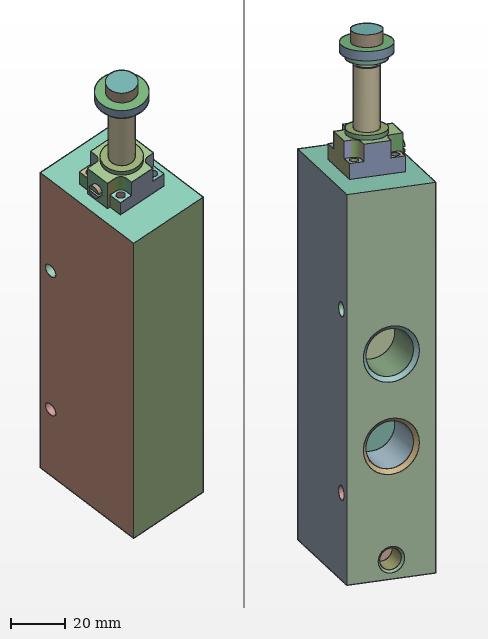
import cadquery as cq

TOTAL_HEIGHT = 207.0
BLOCK_X = 50.0
BLOCK_Y = 35.0
BLOCK_HEIGHT = 153.4

PORT_HEIGHTS = (52.2, 88.4)
PORT_DIAMETER = 18.6
PORT_MOUTH_DIAMETER = 22.0
PORT_DEPTH = 20.7
PILOT_HEIGHT = 7.7
PILOT_DIAMETER = 8.5
PILOT_MOUTH_DIAMETER = 10.4
PILOT_DEPTH = 10.4

MOUNT_HEIGHTS = (34.4, 106.5)
MOUNT_DIAMETER = 5.5
MOUNT_EDGE_DISTANCE = 5.5

BASE_SIDE = 22.0
BASE_HEIGHT = 13.0
FOOT_HEIGHT = 6.2
ARM_WIDTH = 10.8
SCREW_HOLE_DIAMETER = 3.3
SCREW_HOLE_OFFSET = 8.0
PAD_THICKNESS = 1.2

OVERRIDE_DIAMETER = 5.4
OVERRIDE_LENGTH = 1.9
OVERRIDE_HEIGHT = 5.8
OVERRIDE_SLOT = 1.2

COLLAR_DIAMETER = 16.0
COLLAR_TOP = 15.0
SHAFT_DIAMETER = 10.0
NECK_DIAMETER = 8.0
FLANGE_DIAMETER = 20.0
BUTTON_DIAMETER = 12.0
SHAFT_TOP_DROP = 13.7
NECK_TOP_DROP = 11.2
LOWER_FLANGE_TOP_DROP = 8.7
FLANGE_TOP_DROP = 5.0


def blind_port(height, diameter, mouth_diameter, depth):
    """Blind bore entering the -X face, with a 45 degree chamfered mouth."""
    radius = diameter / 2
    mouth_radius = mouth_diameter / 2
    chamfer = mouth_radius - radius
    profile_plane = cq.Plane(origin=(-BLOCK_X / 2, 0, height), xDir=(0, 1, 0), normal=(0, 0, -1))
    return (
        cq.Workplane(profile_plane)
        .polyline([(0, 0), (mouth_radius, 0), (radius, chamfer), (radius, depth), (0, depth)])
        .close()
        .revolve(360, (0, 0), (0, 1))
    )


def make_valve_block():
    block = cq.Workplane("XY").box(BLOCK_X, BLOCK_Y, BLOCK_HEIGHT, centered=(True, True, False))
    for height in PORT_HEIGHTS:
        block = block.cut(blind_port(height, PORT_DIAMETER, PORT_MOUTH_DIAMETER, PORT_DEPTH))
    block = block.cut(blind_port(PILOT_HEIGHT, PILOT_DIAMETER, PILOT_MOUTH_DIAMETER, PILOT_DEPTH))

    mount_x = -BLOCK_X / 2 + MOUNT_EDGE_DISTANCE
    mount_holes = (
        cq.Workplane("XZ")
        .pushPoints([(mount_x, height) for height in MOUNT_HEIGHTS])
        .circle(MOUNT_DIAMETER / 2)
        .extrude(BLOCK_Y / 2, both=True)
    )
    return block.cut(mount_holes)


def make_operator_base():
    """Square base whose corners are lowered to a foot, leaving a cross-shaped upper part."""
    base = (
        cq.Workplane("XY", origin=(0, 0, BLOCK_HEIGHT))
        .box(BASE_SIDE, BASE_SIDE, BASE_HEIGHT, centered=(True, True, False))
    )
    recess_side = (BASE_SIDE - ARM_WIDTH) / 2
    recess_center = (BASE_SIDE + ARM_WIDTH) / 4
    recess_radius = SCREW_HOLE_OFFSET - ARM_WIDTH / 2
    for x_side in (-1, 1):
        for y_side in (-1, 1):
            inner_edge = cq.selectors.NearestToPointSelector(
                (x_side * ARM_WIDTH / 2, y_side * ARM_WIDTH / 2, BLOCK_HEIGHT + BASE_HEIGHT)
            )
            recess = (
                cq.Workplane("XY", origin=(0, 0, BLOCK_HEIGHT + FOOT_HEIGHT))
                .center(x_side * recess_center, y_side * recess_center)
                .rect(recess_side, recess_side)
                .extrude(BASE_HEIGHT - FOOT_HEIGHT)
                .edges("|Z")
                .edges(inner_edge)
                .fillet(recess_radius)
            )
            screw_hole = (
                cq.Workplane("XY", origin=(0, 0, BLOCK_HEIGHT))
                .center(x_side * SCREW_HOLE_OFFSET, y_side * SCREW_HOLE_OFFSET)
                .circle(SCREW_HOLE_DIAMETER / 2)
                .extrude(FOOT_HEIGHT)
            )
            base = base.cut(recess).cut(screw_hole)

    pad = (
        cq.Workplane("XY", origin=(0, -(BASE_SIDE + PAD_THICKNESS) / 2, BLOCK_HEIGHT))
        .box(ARM_WIDTH, PAD_THICKNESS, BASE_HEIGHT, centered=(True, True, False))
    )
    return base.union(pad)


def make_override():
    """Slotted round head standing out from the pad toward -Y."""
    pad_face_y = -BASE_SIDE / 2 - PAD_THICKNESS
    head_plane = cq.Workplane("XZ", origin=(0, pad_face_y, BLOCK_HEIGHT + OVERRIDE_HEIGHT))
    head = head_plane.circle(OVERRIDE_DIAMETER / 2).extrude(OVERRIDE_LENGTH)
    slot = head_plane.rect(OVERRIDE_DIAMETER, OVERRIDE_SLOT).extrude(OVERRIDE_LENGTH)
    return head.cut(slot)


def make_stem():
    """Stack of coaxial cylinders from the base's top face to the very top."""
    steps = (
        (COLLAR_DIAMETER, BLOCK_HEIGHT + COLLAR_TOP),
        (SHAFT_DIAMETER, TOTAL_HEIGHT - SHAFT_TOP_DROP),
        (NECK_DIAMETER, TOTAL_HEIGHT - NECK_TOP_DROP),
        (COLLAR_DIAMETER, TOTAL_HEIGHT - LOWER_FLANGE_TOP_DROP),
        (FLANGE_DIAMETER, TOTAL_HEIGHT - FLANGE_TOP_DROP),
        (BUTTON_DIAMETER, TOTAL_HEIGHT),
    )
    bottom = BLOCK_HEIGHT + BASE_HEIGHT
    stem = cq.Workplane("XY")
    for diameter, top in steps:
        step = cq.Workplane("XY", origin=(0, 0, bottom)).circle(diameter / 2).extrude(top - bottom)
        stem = stem.union(step)
        bottom = top
    return stem


def make_operator():
    return make_operator_base().union(make_override()).union(make_stem())


valve_block = make_valve_block()
operator = make_operator()

result = cq.Compound.makeCompound([valve_block.val(), operator.val()])